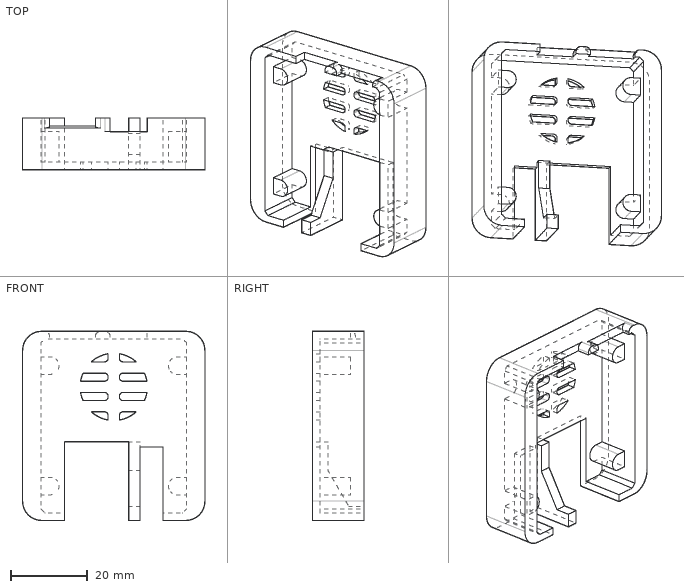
import cadquery as cq

width = 47.5
depth = 13.5
height = 49.25
corner_radius = 5.0
wall = 2.0
side_wall = 4.8
half_width = width / 2
half_height = height / 2
inner_x = half_width - side_wall
inner_z = half_height - wall
inner_chamfer = 1.05

grille_radius = 8.7
grille_z = 10.15
grille_spine = 3.0
slot_height = 2.0
slot_pitch = 5.0
slot_corner = 0.9

opening_half_width = 12.8
rib_left = 3.85
rib_width = 3.0
rib_right = rib_left + rib_width
left_opening_top = -4.2
right_opening_top = -5.5
rib_web_depth = 4.05
rib_ledge_start = 9.5
rib_ledge_height = 3.7
rib_slope_top_height = 13.05

notch_round = 1.4
cable_notch_left = -16.7
tab_left = -4.8
tab_right = -0.95
wide_notch_right = 8.65
wide_notch_depth = 3.55
cable_notch_outer_depth = 2.6
cable_notch_inner_depth = 2.05

post_radius = 2.25
post_x = 16.5
post_z = 15.65
post_end = depth - wide_notch_depth


def box(x0, x1, y0, y1, z0, z1):
    """Box between two opposite corners."""
    return cq.Workplane("XY").box(x1 - x0, y1 - y0, z1 - z0, centered=False).translate((x0, y0, z0))


def rounded_shell():
    outer = box(-half_width, half_width, 0, depth, -half_height, half_height)
    outer = outer.edges("|Y").fillet(corner_radius)
    cavity = box(-inner_x, inner_x, wall, depth, -inner_z, inner_z)
    return outer.cut(cavity.edges("|Y").chamfer(inner_chamfer))


def corner_post(side, level):
    """Round-ended post along Y, joined to a side wall; side and level are +1 or -1."""
    length = post_end - wall
    post = (
        cq.Workplane("XZ", origin=(side * post_x, wall, level * post_z))
        .circle(post_radius)
        .extrude(-length)
    )
    web_ends = sorted((side * post_x, side * inner_x))
    web_middle = level * post_z
    web = box(*web_ends, wall, post_end, web_middle - post_radius, web_middle + post_radius)
    return post.union(web)


def grille():
    """Slots on both sides of a central spine, trimmed to a disc."""
    disc = cq.Workplane("XZ", origin=(0, 0, grille_z)).circle(grille_radius).extrude(-wall)
    slots = cq.Workplane("XZ")
    inner_row = slot_pitch / 2
    outer_row_start = slot_pitch * 1.5 - slot_height / 2
    rows = (
        (inner_row - slot_height / 2, inner_row + slot_height / 2),
        (outer_row_start, grille_radius + slot_corner),
    )
    start_x = grille_spine / 2
    end_x = grille_radius + slot_corner
    for low, high in rows:
        slot = box(start_x, end_x, 0, wall, low, high).edges("|Y and <X").fillet(slot_corner)
        pair = slot.union(slot.mirror("YZ"))
        rows_of_slots = pair.union(pair.mirror("XY"))
        slots = slots.add(rows_of_slots.translate((0, 0, grille_z)))
    return slots.combine().intersect(disc)


def bottom_openings():
    left = box(-opening_half_width, rib_left, 0, depth, -half_height, left_opening_top)
    right = box(rib_right, opening_half_width, 0, depth, -half_height, right_opening_top)
    return left.union(right)


def rib():
    """Rib between the bottom openings, with a sloped back edge and a low foot."""
    slope_top = rib_slope_top_height - half_height
    ledge_top = rib_ledge_height - half_height
    return (
        cq.Workplane("YZ", origin=(rib_left, 0, 0))
        .moveTo(0, -half_height)
        .lineTo(depth, -half_height)
        .lineTo(depth, ledge_top)
        .lineTo(rib_ledge_start, ledge_top)
        .lineTo(rib_web_depth, slope_top)
        .lineTo(rib_web_depth, left_opening_top)
        .lineTo(0, left_opening_top)
        .close()
        .extrude(rib_width)
    )


def rounded_notch_outline(left, right, round_right):
    """Notch section through the top wall, flaring outwards with a round at its upper ends."""
    round_start = half_height - notch_round
    outline = (
        cq.Workplane("XZ")
        .moveTo(left, inner_z)
        .lineTo(left, round_start)
        .radiusArc((left - notch_round, half_height), -notch_round)
    )
    if round_right:
        outline = outline.lineTo(right + notch_round, half_height)
        outline = outline.radiusArc((right, round_start), -notch_round)
    else:
        outline = outline.lineTo(right, half_height)
    return outline.lineTo(right, inner_z).close().extrude(-depth)


def cable_notch():
    """Notch rounded on both sides, with a floor that deepens towards the outside."""
    outline = rounded_notch_outline(cable_notch_left, tab_left, True)
    above_floor = (
        cq.Workplane("YZ", origin=(-half_width, 0, 0))
        .moveTo(depth - cable_notch_inner_depth, inner_z)
        .lineTo(depth - cable_notch_outer_depth, half_height)
        .lineTo(depth, half_height)
        .lineTo(depth, inner_z)
        .close()
        .extrude(width)
    )
    return outline.intersect(above_floor)


def wide_notch():
    """Flat-floored notch, rounded only where it meets the tab."""
    outline = rounded_notch_outline(tab_right, wide_notch_right, False)
    floor_y = depth - wide_notch_depth
    return outline.intersect(box(-half_width, half_width, floor_y, depth, inner_z, half_height))


result = rounded_shell()
for side in (-1, 1):
    for level in (-1, 1):
        result = result.union(corner_post(side, level))
result = result.cut(bottom_openings()).union(rib())
result = result.cut(grille()).cut(cable_notch()).cut(wide_notch())